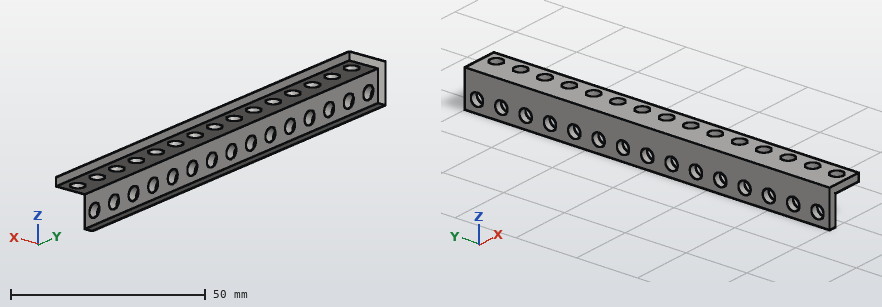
import cadquery as cq

length = 120.0
leg_width = 12.0
thickness = 2.5
hole_count = 15
hole_pitch = length / hole_count
hole_diameter = hole_pitch / 2
hole_offset = hole_pitch

top_leg = cq.Workplane("XY").box(leg_width, length, thickness, centered=False).translate((0, 0, -thickness))
side_leg = cq.Workplane("XY").box(thickness, length, leg_width, centered=False).translate((0, 0, -leg_width))
angle_bar = top_leg.union(side_leg)

hole_positions = [(i + 0.5) * hole_pitch for i in range(hole_count)]

top_holes = (
    cq.Workplane("XY")
    .pushPoints([(hole_offset, y) for y in hole_positions])
    .circle(hole_diameter / 2)
    .extrude(-thickness)
)
side_holes = (
    cq.Workplane("YZ")
    .pushPoints([(y, -hole_offset) for y in hole_positions])
    .circle(hole_diameter / 2)
    .extrude(thickness)
)

result = angle_bar.cut(top_holes).cut(side_holes)